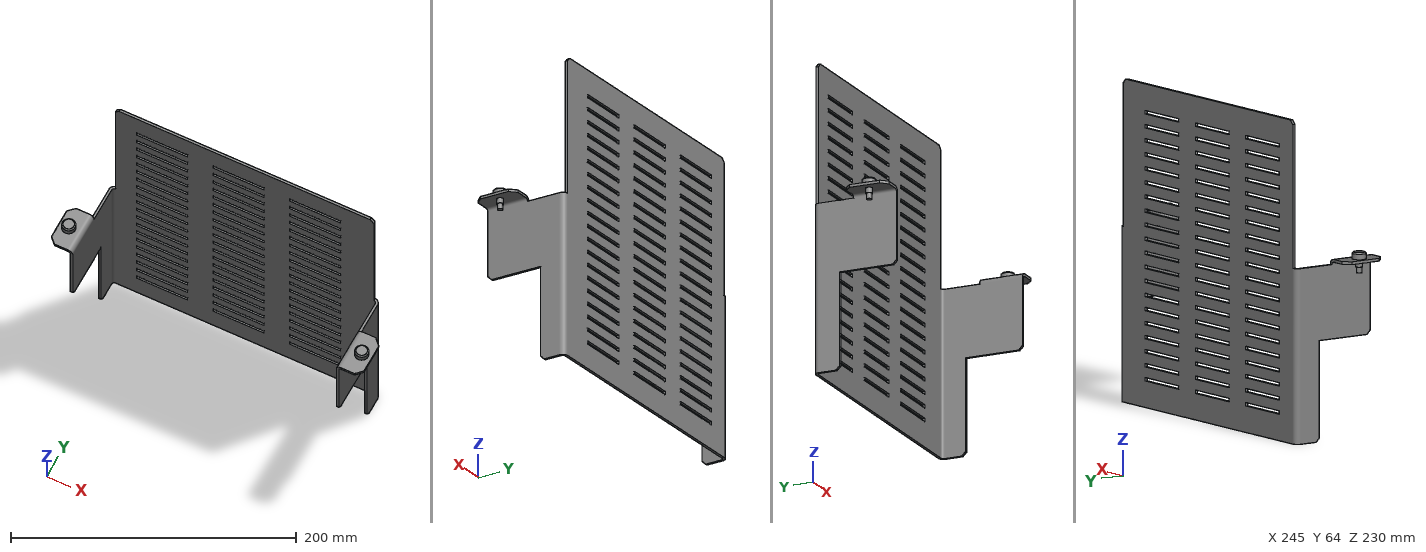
import cadquery as cq


SHEET = 2.0
BEND_OUTER = 2 * SHEET
BEND_INNER = BEND_OUTER - SHEET

OVERALL_WIDTH = 245.0
OVERALL_DEPTH = 64.0
OVERALL_HEIGHT = 230.0

BODY_WIDTH = 210.7
PANEL_WIDTH = BODY_WIDTH - 2 * BEND_OUTER
CORNER_CHAMFER = 3.0

SLOT_COLUMNS = 3
SLOT_ROWS = 20
SLOT_LENGTH = 40.0
SLOT_HEIGHT = 2.4
COLUMN_PITCH = 60.0
GRID_OFFSET = -5.0
ROW_SPAN = 189.9
ROW_PITCH = ROW_SPAN / (SLOT_ROWS - 1)

FLANGE_HEIGHT = 125.0
ARM_BOTTOM = 72.0
LEG_DEPTH = 20.0

TAB_TOP = FLANGE_HEIGHT + BEND_OUTER
TAB_LENGTH = 33.0
TAB_CHAMFER = 5.0

SCREW_EDGE_DISTANCE = 7.5
SCREW_X = OVERALL_WIDTH / 2 - SCREW_EDGE_DISTANCE
SCREW_Y = -OVERALL_DEPTH + TAB_LENGTH / 2
HEAD_DIAMETER = 10.0
HEAD_HEIGHT = 5.0
HEAD_CHAMFER = 1.0
SHANK_DIAMETER = 5.0
SHANK_LENGTH = 6.0
TIP_DIAMETER = 4.0
SCREW_LENGTH = 10.0


def make_panel():
    """Flat back panel with chamfered upper corners and a grid of slots."""
    panel = (
        cq.Workplane("XY")
        .box(PANEL_WIDTH, SHEET, OVERALL_HEIGHT, centered=(True, False, False))
        .translate((0, -SHEET, 0))
        .edges("|Y and >Z")
        .chamfer(CORNER_CHAMFER)
    )
    slots = (
        cq.Workplane("XZ", origin=(GRID_OFFSET, 0, OVERALL_HEIGHT / 2))
        .rarray(COLUMN_PITCH, ROW_PITCH, SLOT_COLUMNS, SLOT_ROWS)
        .rect(SLOT_LENGTH, SLOT_HEIGHT)
        .extrude(SHEET)
    )
    return panel.cut(slots)


def quarter_bend(plane, centre, length):
    """Quarter ring filling the +, + quadrant of the plane about the bend centre."""
    return (
        cq.Workplane(plane, origin=centre)
        .moveTo(BEND_INNER, 0)
        .lineTo(BEND_OUTER, 0)
        .radiusArc((0, BEND_OUTER), -BEND_OUTER)
        .lineTo(0, BEND_INNER)
        .radiusArc((BEND_INNER, 0), BEND_INNER)
        .close()
        .extrude(length)
    )


def make_flange():
    """Right-hand flange wall, L-shaped, with chamfered lower front corners."""
    return (
        cq.Workplane("YZ", origin=(BODY_WIDTH / 2 - SHEET, 0, 0))
        .moveTo(-BEND_OUTER, 0)
        .lineTo(-BEND_OUTER, FLANGE_HEIGHT)
        .lineTo(-OVERALL_DEPTH, FLANGE_HEIGHT)
        .lineTo(-OVERALL_DEPTH, ARM_BOTTOM + CORNER_CHAMFER)
        .lineTo(-OVERALL_DEPTH + CORNER_CHAMFER, ARM_BOTTOM)
        .lineTo(-LEG_DEPTH, ARM_BOTTOM)
        .lineTo(-LEG_DEPTH, CORNER_CHAMFER)
        .lineTo(-LEG_DEPTH + CORNER_CHAMFER, 0)
        .close()
        .extrude(SHEET)
    )


def make_tab():
    """Right-hand horizontal tab with its bend and its screw hole."""
    bend_end = BODY_WIDTH / 2 - SHEET + BEND_OUTER
    bend = quarter_bend("XZ", (0, 0, 0), TAB_LENGTH).mirror("YZ")
    bend = bend.translate((bend_end, TAB_LENGTH - OVERALL_DEPTH, FLANGE_HEIGHT))
    plate = (
        cq.Workplane("XY")
        .box(OVERALL_WIDTH / 2 - bend_end, TAB_LENGTH, SHEET, centered=False)
        .translate((bend_end, -OVERALL_DEPTH, TAB_TOP - SHEET))
        .edges("|Z and >X")
        .chamfer(TAB_CHAMFER)
    )
    hole = (
        cq.Workplane("XY", origin=(SCREW_X, SCREW_Y, TAB_TOP - SHEET))
        .circle(SHANK_DIAMETER / 2)
        .extrude(SHEET)
    )
    return plate.union(bend).cut(hole)


def make_bracket():
    """Panel with both side flanges and tabs, as one sheet-metal solid."""
    bend_centre = (PANEL_WIDTH / 2, -BEND_OUTER, 0)
    side = quarter_bend("XY", bend_centre, FLANGE_HEIGHT).union(make_flange()).union(make_tab())
    return make_panel().union(side).union(side.mirror("YZ")).solids().val()


def make_screw(x):
    """Screw hanging from the tab: chamfered round head, shank and a thinner tip."""
    seat = cq.Workplane("XY", origin=(x, SCREW_Y, TAB_TOP))
    head = seat.circle(HEAD_DIAMETER / 2).extrude(HEAD_HEIGHT).faces(">Z").chamfer(HEAD_CHAMFER)
    shank = seat.circle(SHANK_DIAMETER / 2).extrude(-SHANK_LENGTH)
    tip = seat.circle(TIP_DIAMETER / 2).extrude(-SCREW_LENGTH)
    return head.union(shank).union(tip).solids().val()


bracket = make_bracket()
screws = [make_screw(side * SCREW_X) for side in (-1, 1)]

result = cq.Compound.makeCompound([bracket, *screws])